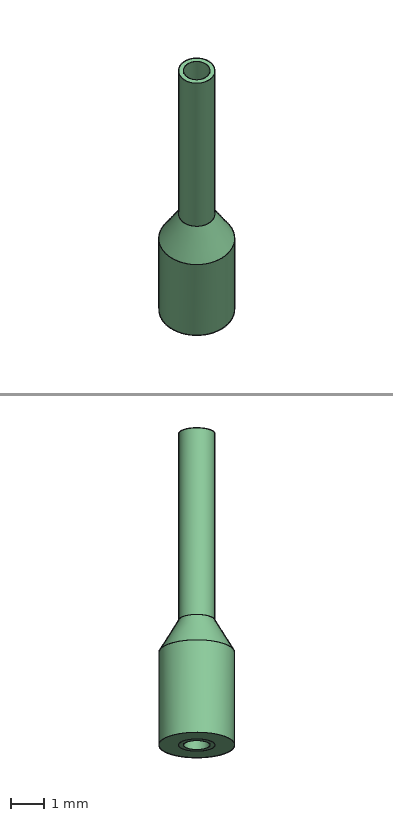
import cadquery as cq

total_length = 10.0
collar_diameter = 2.3
tube_diameter = 1.1
bore_diameter = 0.8
skirt_height = 2.97
cone_height = 1.03

collar_radius = collar_diameter / 2
tube_radius = tube_diameter / 2
collar_height = skirt_height + cone_height


def make_tube():
    """Straight sleeve that runs the whole length, open at both ends."""
    return (
        cq.Workplane("XY")
        .circle(tube_radius)
        .circle(bore_diameter / 2)
        .extrude(total_length)
    )


def make_collar():
    """Cylindrical skirt tapering to the tube, with a bore that fits the tube."""
    return (
        cq.Workplane("XZ")
        .moveTo(tube_radius, 0)
        .lineTo(collar_radius, 0)
        .lineTo(collar_radius, skirt_height)
        .lineTo(tube_radius, collar_height)
        .close()
        .revolve(360, (0, 0, 0), (0, 1, 0))
    )


tube = make_tube()
collar = make_collar()

result = cq.Compound.makeCompound([tube.val(), collar.val()])